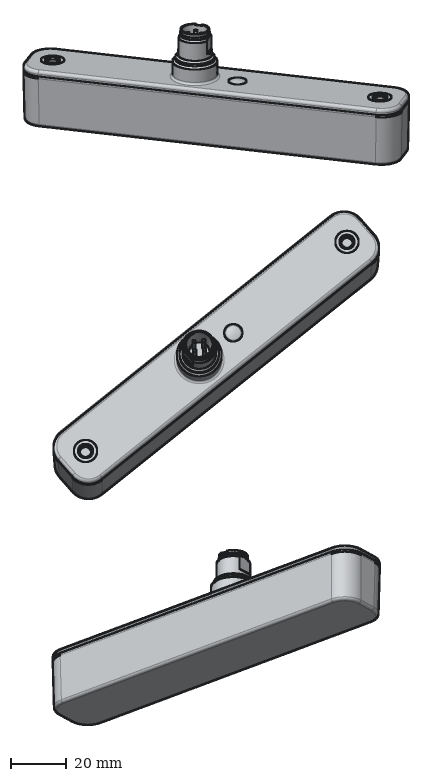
import cadquery as cq

length = 142.0
width = 23.0
height = 22.0
corner_radius = 7.5
lid_thickness = 2.1
rim_height = 0.9
top_fillet = 1.25
bottom_fillet = 1.1
taper_angle = 1.0

post_spacing = 123.0
post_radius = 4.2
thread_radius = 2.1
thread_depth = 1.9
thread_chamfer = 0.6

light_x = 8.0
light_radius = 3.3
dome_radius = 2.75
dome_rise = 0.4

connector_x = -8.0
connector_height = 18.3
flare_radius = 0.85
base_radius = 8.1
base_height = 5.9
collar_radius = 7.1
collar_bottom = 6.75
collar_top = 7.6
barrel_radius = 6.1
barrel_bottom = 8.45
barrel_top = 15.35
tip_radius = 5.35
tip_bottom = 16.2
end_radius = 5.2
end_bottom = 17.1

flat_distance = 5.35
flat_bottom = 10.4
flat_slope_drop = 0.5

socket_mouth_radius = 4.75
socket_floor_radius = 3.7
socket_depth = 9.0
notch_width = 2.6
notch_depth = 0.4
pin_count = 4
pin_radius = 0.6
pin_circle_radius = 2.5
pin_angle = 10.0
pin_recess = 1.5

lid_bottom = height - lid_thickness
wall_height = lid_bottom - rim_height
post_positions = [(-post_spacing / 2, 0), (post_spacing / 2, 0)]


def rounded_slab(bottom, thickness):
    """Straight slab with the outline of the enclosure."""
    return (
        cq.Workplane("XY", origin=(0, 0, bottom))
        .rect(length, width)
        .extrude(thickness)
        .edges("|Z")
        .fillet(corner_radius)
    )


def make_tapered_walls():
    """Lower part of the base, narrowing downward, with a rounded bottom edge."""
    block = (
        cq.Workplane("XY", origin=(0, 0, wall_height))
        .transformed(rotate=(180, 0, 0))
        .rect(length, width)
        .extrude(wall_height, taper=taper_angle)
    )
    corner_edges = block.edges("not (|X or |Y)")
    return corner_edges.fillet(corner_radius).faces("<Z").edges().fillet(bottom_fillet)


def make_threaded_hole():
    """Blind hole with a chamfered mouth, going down from Z = 0."""
    return (
        cq.Workplane("XZ")
        .lineTo(thread_radius + thread_chamfer, 0)
        .lineTo(thread_radius, -thread_chamfer)
        .lineTo(thread_radius, -thread_depth)
        .lineTo(0, -thread_depth)
        .close()
        .revolve(360, (0, 0, 0), (0, 1, 0))
    )


def make_base():
    """Base with tapered walls, a straight rim and two threaded posts."""
    posts = (
        cq.Workplane("XY", origin=(0, 0, lid_bottom))
        .pushPoints(post_positions)
        .circle(post_radius)
        .extrude(lid_thickness)
    )
    body = make_tapered_walls().union(rounded_slab(wall_height, rim_height)).union(posts)
    for x, y in post_positions:
        body = body.cut(make_threaded_hole().translate((x, y, height)))
    return body


def make_connector_body():
    """Turned outer shape of the connector, standing on Z = 0."""
    return (
        cq.Workplane("XZ")
        .lineTo(base_radius + flare_radius, 0)
        .radiusArc((base_radius, flare_radius), flare_radius)
        .lineTo(base_radius, base_height)
        .lineTo(collar_radius, collar_bottom)
        .lineTo(collar_radius, collar_top)
        .lineTo(barrel_radius, barrel_bottom)
        .lineTo(barrel_radius, barrel_top)
        .lineTo(tip_radius, tip_bottom)
        .lineTo(tip_radius, end_bottom)
        .lineTo(end_radius, end_bottom)
        .lineTo(end_radius, connector_height)
        .lineTo(0, connector_height)
        .close()
        .revolve(360, (0, 0, 0), (0, 1, 0))
    )


def make_flat_cut():
    """Prism that cuts the flat on the +X side of the barrel."""
    return (
        cq.Workplane("XZ")
        .moveTo(flat_distance, flat_bottom)
        .lineTo(flat_distance, tip_bottom)
        .lineTo(barrel_radius, tip_bottom)
        .lineTo(barrel_radius, flat_bottom - flat_slope_drop)
        .close()
        .extrude(barrel_radius, both=True)
    )


def make_connector():
    """Connector with its flats, socket, rim notch and pins."""
    flat_cut = make_flat_cut()
    body = make_connector_body().cut(flat_cut).cut(flat_cut.mirror("YZ"))

    socket_floor = connector_height - socket_depth
    socket = cq.Workplane(
        cq.Solid.makeCone(
            socket_floor_radius, socket_mouth_radius, socket_depth, pnt=cq.Vector(0, 0, socket_floor)
        )
    )
    notch = cq.Workplane("XY").box(notch_width, end_radius, notch_depth, centered=(True, False, False))
    notch = notch.translate((0, 0, connector_height - notch_depth))
    pins = (
        cq.Workplane("XY", origin=(0, 0, socket_floor))
        .polarArray(pin_circle_radius, pin_angle, 360, pin_count)
        .circle(pin_radius)
        .extrude(socket_depth - pin_recess)
    )
    return body.cut(socket).cut(notch).union(pins)


def make_lid():
    """Lid with a rounded top edge, the connector, and holes for the posts and the light."""
    plate = rounded_slab(lid_bottom, lid_thickness).faces(">Z").edges().fillet(top_fillet)
    post_holes = (
        cq.Workplane("XY", origin=(0, 0, lid_bottom))
        .pushPoints(post_positions)
        .circle(post_radius)
        .extrude(lid_thickness)
    )
    light_hole = (
        cq.Workplane("XY", origin=(light_x, 0, lid_bottom)).circle(light_radius).extrude(lid_thickness)
    )
    connector = make_connector().translate((connector_x, 0, height))
    return plate.cut(post_holes).cut(light_hole).union(connector)


def make_light():
    """Light body filling its hole in the lid, with a low dome on top."""
    sphere_radius = (dome_radius**2 + dome_rise**2) / (2 * dome_rise)
    return (
        cq.Workplane("XZ", origin=(light_x, 0, height))
        .moveTo(0, -lid_thickness)
        .lineTo(light_radius, -lid_thickness)
        .lineTo(light_radius, 0)
        .lineTo(dome_radius, 0)
        .radiusArc((0, dome_rise), -sphere_radius)
        .close()
        .revolve(360, (0, 0, 0), (0, 1, 0))
    )


base = make_base()
lid = make_lid()
light = make_light()

result = cq.Compound.makeCompound([base.solids().val(), lid.solids().val(), light.val()])